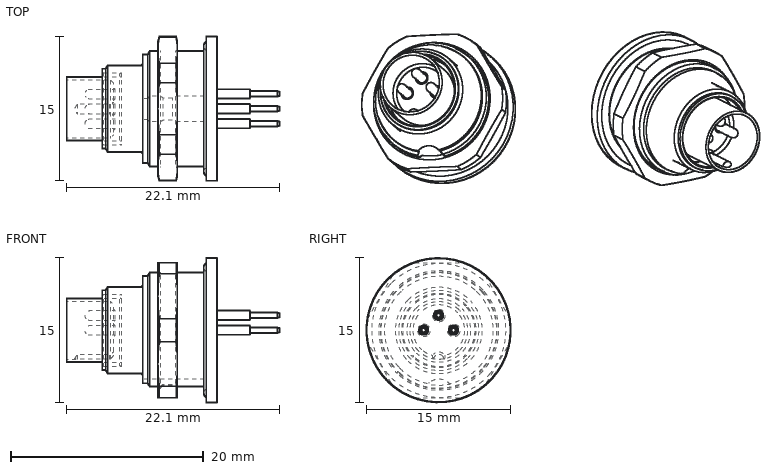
import cadquery as cq
import math

TOTAL_LENGTH = 22.1

SLEEVE_R = 6.6 / 2
BORE_R = 6.0 / 2
FLOOR_R = 2.67
FLOOR_X = 4.86
FLOOR_CHAMFER = BORE_R - FLOOR_R

COLLAR_X = 3.7
COLLAR_LIP_R = 8.3 / 2
COLLAR_LIP_LENGTH = 0.35
COLLAR_R = 9.0 / 2
COLLAR_CHAMFER_LENGTH = 0.22
GROOVE_R = 7.5 / 2
GROOVE_LEAD = 0.1
GROOVE_DEPTH = 2.0
GROOVE_SEAL_R = (GROOVE_R - SLEEVE_R) / 2

BODY_X = 7.9
BODY_LIP_R = 5.64
BODY_LIP_LENGTH = 0.53
BODY_R = 12.0 / 2
BODY_CHAMFER_LENGTH = 0.22
BODY_FILLET = 0.2

NOTCH_R = 1.48
NOTCH_TOP = 5.04

FLANGE_X = 14.48
FLANGE_BACK_X = 15.65
FLANGE_R = 15.0 / 2
FLANGE_CHAMFER = 0.07
SEAL_FRONT_X = 14.2
SEAL_R = 0.5
SEAL_RING_R = BODY_R + SEAL_R

NUT_X = 9.48
NUT_LENGTH = 2.01
NUT_SIDES = 6
NUT_ACROSS_FLATS = 14.01
NUT_CORNER_R = FLANGE_R
NUT_CHAMFER_LENGTH = 0.13
NUT_BORE_R = 5.7
NUT_BORE_CHAMFER = 0.5

PIN_OFFSET = 1.55
PIN_POSITIONS = [(-PIN_OFFSET, 0), (PIN_OFFSET, 0), (0, PIN_OFFSET)]
PIN_TIP_X = 1.88
PIN_R = 1.0 / 2
PIN_SHOULDER_X = 19.05
PIN_SHOULDER_CHAMFER = 0.07
TAIL_R = 0.6 / 2
TAIL_CHAMFER_LENGTH = 0.27
TAIL_CHAMFER = 0.09
PIN_COUNTERSINK = 0.15

KEY_X = 0.77
KEY_AXIS_Z = -3.0
KEY_R = 0.53
KEY_POINT_LENGTH = 0.33
KEY_FOOT_R = 0.77
KEY_FOOT_LENGTH = 0.45


def turned(profile):
    """Revolve a closed (x, radius) outline about the X axis."""
    return profile.close().revolve(360, (0, 0, 0), (1, 0, 0))


def rod(x_start, x_end, radius, y=0, z=0):
    """Solid cylinder parallel to X."""
    return cq.Workplane("YZ", origin=(x_start, y, z)).circle(radius).extrude(x_end - x_start)


def shell():
    """Sleeve, collar, body and flange as one turned piece with a blind bore."""
    groove_floor_x = COLLAR_X + GROOVE_DEPTH
    groove_seal_crest = (groove_floor_x - GROOVE_SEAL_R, SLEEVE_R + GROOVE_SEAL_R)
    seal_x = SEAL_FRONT_X + SEAL_R
    seal_half_chord = math.sqrt(SEAL_R**2 - (seal_x - FLANGE_X) ** 2)
    collar_shoulder_x = COLLAR_X + COLLAR_LIP_LENGTH
    body_shoulder_x = BODY_X + BODY_LIP_LENGTH
    fillet_mid = BODY_FILLET * (1 - math.sqrt(0.5))

    outline = (
        cq.Workplane("XY")
        .moveTo(FLOOR_X, 0)
        .lineTo(FLOOR_X, FLOOR_R)
        .lineTo(FLOOR_X - FLOOR_CHAMFER, BORE_R)
        .lineTo(0, BORE_R)
        .lineTo(0, SLEEVE_R)
        .lineTo(groove_floor_x, SLEEVE_R)
        .threePointArc(groove_seal_crest, (groove_floor_x, GROOVE_R))
        .lineTo(COLLAR_X + GROOVE_LEAD, GROOVE_R)
        .lineTo(COLLAR_X, GROOVE_R + GROOVE_LEAD)
        .lineTo(COLLAR_X, COLLAR_LIP_R)
        .lineTo(collar_shoulder_x, COLLAR_LIP_R)
        .lineTo(collar_shoulder_x + COLLAR_CHAMFER_LENGTH, COLLAR_R)
        .lineTo(BODY_X - BODY_FILLET, COLLAR_R)
        .threePointArc((BODY_X - fillet_mid, COLLAR_R + fillet_mid), (BODY_X, COLLAR_R + BODY_FILLET))
        .lineTo(BODY_X, BODY_LIP_R)
        .lineTo(body_shoulder_x, BODY_LIP_R)
        .lineTo(body_shoulder_x + BODY_CHAMFER_LENGTH, BODY_R)
        .lineTo(FLANGE_X, BODY_R)
        .lineTo(FLANGE_X, SEAL_RING_R - seal_half_chord)
        .threePointArc((SEAL_FRONT_X, SEAL_RING_R), (FLANGE_X, SEAL_RING_R + seal_half_chord))
        .lineTo(FLANGE_X, FLANGE_R)
        .lineTo(FLANGE_BACK_X - FLANGE_CHAMFER, FLANGE_R)
        .lineTo(FLANGE_BACK_X, FLANGE_R - FLANGE_CHAMFER)
        .lineTo(FLANGE_BACK_X, 0)
    )
    return turned(outline)


def notch():
    """Round-bottomed cutter that runs under the body up to the flange seal."""
    return rod(BODY_X, SEAL_FRONT_X, NOTCH_R, z=-(NOTCH_TOP + NOTCH_R))


def nut():
    """Hexagon with flats facing up and down, turned corners and a chamfered bore."""
    back_x = NUT_X + NUT_LENGTH
    flat_r = NUT_ACROSS_FLATS / 2
    half_side_angle = 180 / NUT_SIDES
    bore_mouth_r = NUT_BORE_R + NUT_BORE_CHAMFER
    hexagon = (
        cq.Workplane("YZ", origin=(NUT_X, 0, 0))
        .polygon(NUT_SIDES, NUT_ACROSS_FLATS, circumscribed=True)
        .extrude(NUT_LENGTH)
        .rotate((0, 0, 0), (1, 0, 0), half_side_angle)
    )
    turned_blank = turned(
        cq.Workplane("XY")
        .moveTo(NUT_X + NUT_BORE_CHAMFER, NUT_BORE_R)
        .lineTo(NUT_X, bore_mouth_r)
        .lineTo(NUT_X, flat_r)
        .lineTo(NUT_X + NUT_CHAMFER_LENGTH, NUT_CORNER_R)
        .lineTo(back_x - NUT_CHAMFER_LENGTH, NUT_CORNER_R)
        .lineTo(back_x, flat_r)
        .lineTo(back_x, bore_mouth_r)
        .lineTo(back_x - NUT_BORE_CHAMFER, NUT_BORE_R)
    )
    return hexagon.intersect(turned_blank)


def pin(y, z):
    """Round-nosed contact with a thinner, chamfered solder tail."""
    nose_x = PIN_TIP_X + PIN_R
    nose_mid = PIN_R * math.sqrt(0.5)
    outline = (
        cq.Workplane("XY")
        .moveTo(PIN_TIP_X, 0)
        .threePointArc((nose_x - nose_mid, nose_mid), (nose_x, PIN_R))
        .lineTo(PIN_SHOULDER_X - PIN_SHOULDER_CHAMFER, PIN_R)
        .lineTo(PIN_SHOULDER_X, PIN_R - PIN_SHOULDER_CHAMFER)
        .lineTo(PIN_SHOULDER_X, TAIL_R)
        .lineTo(TOTAL_LENGTH - TAIL_CHAMFER_LENGTH, TAIL_R)
        .lineTo(TOTAL_LENGTH, TAIL_R - TAIL_CHAMFER)
        .lineTo(TOTAL_LENGTH, 0)
    )
    return turned(outline).translate((0, y, z))


def pin_countersink(y, z):
    """Conical recess in the bore floor around one pin."""
    outline = (
        cq.Workplane("XY")
        .moveTo(FLOOR_X, 0)
        .lineTo(FLOOR_X, PIN_R + PIN_COUNTERSINK)
        .lineTo(FLOOR_X + PIN_COUNTERSINK, PIN_R)
        .lineTo(FLOOR_X + PIN_COUNTERSINK, 0)
    )
    return turned(outline).translate((0, y, z))


def key():
    """Rib on the lowest line of the bore, with a conical point and a flared foot."""
    sleeve_core = rod(0, FLOOR_X, (BORE_R + SLEEVE_R) / 2)
    outline = (
        cq.Workplane("XY")
        .moveTo(KEY_X, 0)
        .lineTo(KEY_X + KEY_POINT_LENGTH, KEY_R)
        .lineTo(FLOOR_X - KEY_FOOT_LENGTH, KEY_R)
        .lineTo(FLOOR_X, KEY_FOOT_R)
        .lineTo(FLOOR_X, 0)
    )
    return turned(outline).translate((0, 0, KEY_AXIS_Z)).intersect(sleeve_core)


result = shell().cut(notch()).union(nut()).union(key())
for pin_y, pin_z in PIN_POSITIONS:
    result = result.cut(pin_countersink(pin_y, pin_z)).union(pin(pin_y, pin_z))